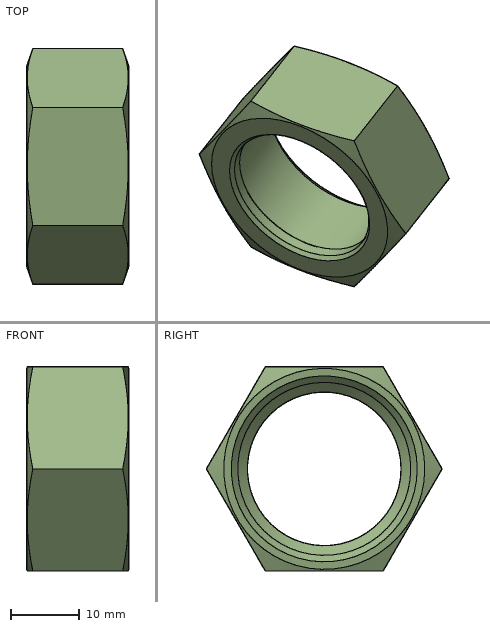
import cadquery as cq
import math

across_corners = 34.65
across_flats = across_corners * math.cos(math.radians(30))
width = across_flats / 2
half_width = width / 2

face_diameter = 29.5
corner_setback = 0.9

lip_diameter = 22.5
lip_mouth_diameter = 23.5
lip_mouth_depth = 0.62
lip_length = 2.18
bore_diameter = 25.4
shoulder_depth = 1.2
exit_diameter = 27.3
exit_depth = 1.07


def turned_blank():
    """Solid of revolution about X with both ends coned."""
    profile = [
        (-half_width, 0),
        (-half_width, face_diameter / 2),
        (corner_setback - half_width, across_corners / 2),
        (half_width - corner_setback, across_corners / 2),
        (half_width, face_diameter / 2),
        (half_width, 0),
    ]
    return cq.Workplane("XY").polyline(profile).close().revolve(360, (0, 0, 0), (1, 0, 0))


def hexagonal_bar():
    """Hexagonal prism centred on the origin."""
    bar = cq.Workplane("YZ").polygon(6, across_corners)
    return bar.extrude(half_width, both=True)


def stepped_bore():
    """Tapered mouth, short lip, coned shoulder and wide bore with a flared exit."""
    lip_end = lip_length - half_width
    profile = [
        (-half_width, 0),
        (-half_width, lip_mouth_diameter / 2),
        (lip_mouth_depth - half_width, lip_diameter / 2),
        (lip_end, lip_diameter / 2),
        (lip_end + shoulder_depth, bore_diameter / 2),
        (half_width - exit_depth, bore_diameter / 2),
        (half_width, exit_diameter / 2),
        (half_width, 0),
    ]
    return cq.Workplane("XY").polyline(profile).close().revolve(360, (0, 0, 0), (1, 0, 0))


result = hexagonal_bar().intersect(turned_blank()).cut(stepped_bore())